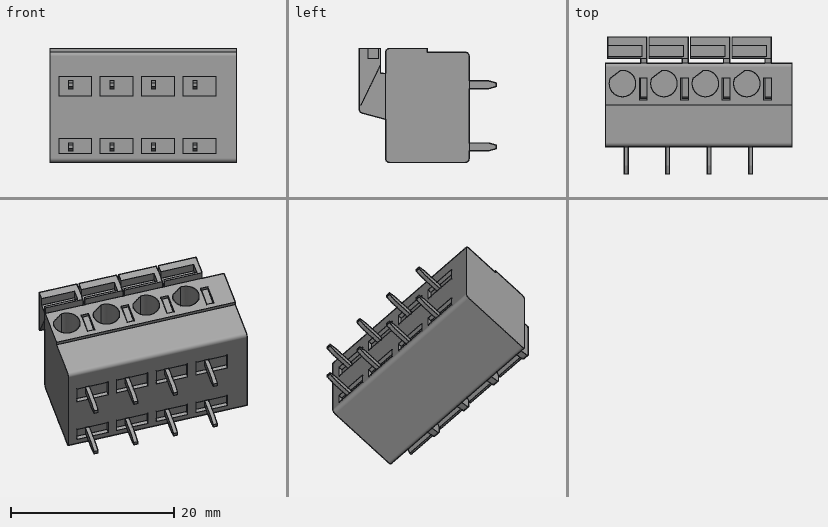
import cadquery as cq
import math


pole_count = 4
length = 22.85
pitch = length / (pole_count + 0.5)

housing_depth = 10.26
housing_height = 14.0
step_drop = 0.45
corner_radius = 0.5

pin_width = 0.5
pin_height = 1.0
pin_length = 3.31
pin_taper_length = 0.98
pin_taper = 0.27
lower_pin_z = 1.92
pin_row_spacing = 7.61
upper_pin_z = lower_pin_z + pin_row_spacing

pin_pocket_start = 1.07
pin_pocket_depth = 0.5
lower_pocket_z = (1.12, 2.97)
upper_pocket_z = (8.18, 10.55)

wire_x = 2.08
wire_y = 7.77
wire_radius = 1.62
wire_flat_distance = 1.42
wire_flat_angle = 127
wire_depth = 6.85

slot_width = 0.94
slot_front = 5.78
slot_back = 8.48
slot_depth = 1.37
tip_gap = 0.15
tip_back_drop = 0.41
tip_nose_height = 0.27
tip_nose_length = 0.15

lever_back = 13.49
lever_gap = 0.25
arm_width = slot_width - tip_gap
arm_top = 10.97
arm_bottom = 5.28
arm_top_slope = 5
arm_bottom_slope = 15
head_front = 10.85
head_wedge_top = 12.0
head_wedge_bottom = 7.06
head_wedge_edge = 0.23
head_slot_depth = 1.23
head_slot_front = 11.1
head_slot_back = 12.44
head_slot_end_wall = 0.62


def box(x, y, z):
    """Box from (low, high) pairs along the three axes."""
    corner = cq.Workplane("XY", origin=(x[0], y[0], z[0]))
    return corner.box(x[1] - x[0], y[1] - y[0], z[1] - z[0], centered=False)


def side_plate(points, x_start, x_end):
    """Plate with a closed (y, z) outline, reaching from x_start to x_end."""
    return cq.Workplane("YZ", origin=(x_start, 0, 0)).polyline(points).close().extrude(x_end - x_start)


def make_housing():
    block = box((0, length), (0, housing_depth), (0, housing_height))
    step = box((0, length), (0, housing_depth / 2), (housing_height - step_drop, housing_height))
    block = block.cut(step)
    front_and_back = block.edges("|X and (<Y or >Y)")
    return front_and_back.fillet(corner_radius)


def make_pin(pole_x, centre_z):
    half = pin_height / 2
    tip_half = half - pin_taper
    taper_start = pin_taper_length - pin_length
    outline = [
        (pin_pocket_depth, centre_z - half),
        (taper_start, centre_z - half),
        (-pin_length, centre_z - tip_half),
        (-pin_length, centre_z + tip_half),
        (taper_start, centre_z + half),
        (pin_pocket_depth, centre_z + half),
    ]
    centre_x = pole_x + pitch / 2
    return side_plate(outline, centre_x - pin_width / 2, centre_x + pin_width / 2)


def make_pin_pocket(pole_x, z_range):
    return box((pole_x + pin_pocket_start, pole_x + pitch), (0, pin_pocket_depth), z_range)


def make_wire_entry(pole_x):
    half_flat = math.degrees(math.acos(wire_flat_distance / wire_radius))

    def on_circle(angle):
        turn = math.radians(angle)
        return (wire_radius * math.cos(turn), wire_radius * math.sin(turn))

    centre = (pole_x + wire_x, wire_y, housing_height - wire_depth)
    return (
        cq.Workplane("XY", origin=centre)
        .moveTo(*on_circle(wire_flat_angle + half_flat))
        .threePointArc(on_circle(wire_flat_angle + 180), on_circle(wire_flat_angle - half_flat))
        .close()
        .extrude(wire_depth)
    )


def make_lever_slot(pole_x):
    x_range = (pole_x + pitch - slot_width, pole_x + pitch)
    return box(x_range, (slot_front, slot_back), (housing_height - slot_depth, housing_height))


def make_lever_tip(pole_x):
    slot_floor = housing_height - slot_depth
    tip_front = slot_front + tip_gap
    nose_back = tip_front + tip_nose_length
    tip_back_z = housing_height - tip_back_drop
    nose_top = tip_back_z - (slot_back - nose_back) * math.tan(math.radians(arm_top_slope))
    outline = [
        (tip_front, slot_floor),
        (tip_front, nose_top - tip_nose_height),
        (nose_back, nose_top),
        (slot_back, tip_back_z),
        (slot_back, slot_floor),
    ]
    return side_plate(outline, pole_x + pitch - arm_width, pole_x + pitch)


def make_lever(pole_x):
    x_start = pole_x + lever_gap
    x_end = pole_x + pitch
    heel_z = arm_bottom + (lever_back - housing_depth) * math.tan(math.radians(arm_bottom_slope))
    arm_front_z = arm_top - (head_front - housing_depth) * math.tan(math.radians(arm_top_slope))
    arm = side_plate(
        [
            (housing_depth, arm_bottom),
            (lever_back, heel_z),
            (lever_back, arm_top),
            (head_front, arm_top),
            (housing_depth, arm_front_z),
        ],
        x_end - arm_width,
        x_end,
    )
    heel = cq.selectors.NearestToPointSelector((x_end - arm_width / 2, lever_back, heel_z))
    arm = arm.edges(heel).fillet(corner_radius)
    head = side_plate(
        [
            (lever_back, housing_height),
            (head_front, housing_height),
            (head_front, head_wedge_top),
            (lever_back - head_wedge_edge, head_wedge_bottom),
            (lever_back, head_wedge_bottom),
        ],
        x_start,
        x_end,
    )
    arm_post = side_plate(
        [
            (lever_back, arm_top),
            (lever_back, housing_height),
            (head_front, housing_height),
            (head_front, arm_top),
        ],
        x_end - arm_width,
        x_end,
    )
    head_slot = box(
        (x_start, x_end - head_slot_end_wall),
        (head_slot_front, head_slot_back),
        (housing_height - head_slot_depth, housing_height),
    )
    return arm.union(head).union(arm_post).cut(head_slot)


result = make_housing()
for pole in range(pole_count):
    pole_x = pole * pitch
    result = result.cut(make_wire_entry(pole_x))
    result = result.cut(make_lever_slot(pole_x)).union(make_lever_tip(pole_x))
    result = result.union(make_lever(pole_x))
    for pin_z, pocket_z in ((lower_pin_z, lower_pocket_z), (upper_pin_z, upper_pocket_z)):
        result = result.cut(make_pin_pocket(pole_x, pocket_z)).union(make_pin(pole_x, pin_z))